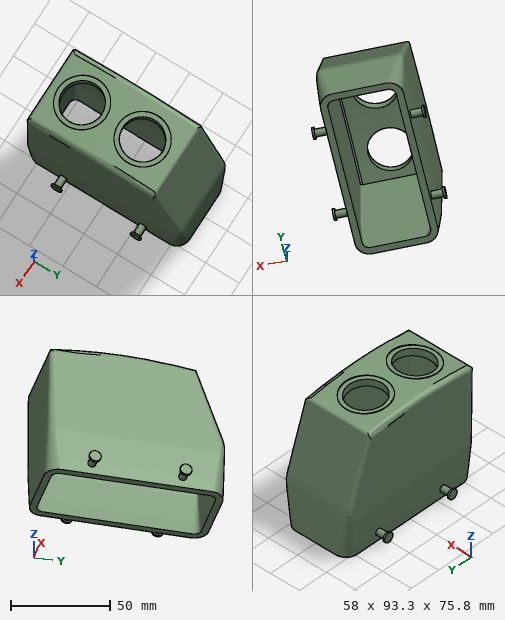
import cadquery as cq
import math

length = 93.3
height = 75.8
width = 45.3
pin_span = 58.0

wall = 3.7
roof_thickness = 5.0

rim_level = 7.2
upright_level = 23.3
rim_inset = 0.7
bottom_inset = 1.2

front_lean = 1.1
rear_lean = 0.65
knee_level = 30.4
shoulder_angle = 20.0
knee_blend = 1.8

bottom_corner = 7.6
rim_corner = 6.3
upright_corner = 3.9
rear_upright_corner = 3.5
knee_corner = 2.8
top_corner = 1.5

roof_radius = 261.2
crown_y = -7.0
roof_edge_radius = 3.0
front_edge_radius = 2.8
rear_edge_radius = 1.9
cavity_edge_radius = 0.9
settling_steps = 4

opening_positions = (9.8, -26.4)
opening_radius = 11.8
recess_radius = 14.5
recess_depth = 0.6

pin_y = 23.7
pin_level = 6.1
pin_radius = 2.05
head_radius = 3.1
head_thickness = 1.1

half_length = length / 2
half_width = width / 2
roof_axis_z = height - roof_radius
knee_y = half_length - rear_lean


def end_section(side, level, end, half, radius):
    """U-shaped wire from Y = 0 to one end (side = 1 rear, -1 front) with two round corners."""
    straight_x = half - radius
    straight_y = side * (end - radius)
    mid_x = straight_x + radius * math.sqrt(0.5)
    mid_y = side * (end - radius + radius * math.sqrt(0.5))
    return (
        cq.Workplane("XY", origin=(0, 0, level))
        .moveTo(-half, 0)
        .lineTo(-half, straight_y)
        .threePointArc((-mid_x, mid_y), (-straight_x, side * end))
        .lineTo(straight_x, side * end)
        .threePointArc((mid_x, mid_y), (half, straight_y))
        .lineTo(half, 0)
        .close()
        .wires()
        .val()
    )


def front_end(level):
    """Distance of the front end wall from Y = 0."""
    return half_length - front_lean * level / height


def rear_end(level):
    """Distance of the rear end wall from Y = 0, below the knee."""
    return half_length - rear_lean * level / knee_level


def shoulder_end(level):
    """Distance of the sloping rear shoulder from Y = 0, above the knee."""
    return knee_y - (level - knee_level) * math.tan(math.radians(shoulder_angle))


def half_hood(side, stations, inset):
    """Ruled loft through the stations (level, end, half width, corner radius), set in all round."""
    sections = []
    for level, end, half, radius in stations:
        corner = max(radius - inset, cavity_edge_radius)
        sections.append(end_section(side, level, end - inset, half - inset, corner))
    return cq.Workplane(cq.Solid.makeLoft(sections, True))


def walls(inset):
    """Tapering walls with round corners, running up past the roof arc."""
    bottom_half = half_width - bottom_inset
    rim_half = half_width - rim_inset
    knee_start = knee_level - knee_blend
    knee_end = knee_level + knee_blend
    front = [
        (0, half_length, bottom_half, bottom_corner),
        (rim_level, front_end(rim_level), rim_half, rim_corner),
        (upright_level, front_end(upright_level), half_width, upright_corner),
        (height, front_end(height), half_width, top_corner),
    ]
    rear = [
        (0, half_length, bottom_half, bottom_corner),
        (rim_level, rear_end(rim_level), rim_half, rim_corner),
        (upright_level, rear_end(upright_level), half_width, rear_upright_corner),
        (knee_start, rear_end(knee_start), half_width, knee_corner),
        (knee_end, shoulder_end(knee_end), half_width, knee_corner),
        (height, shoulder_end(height), half_width, top_corner),
    ]
    return half_hood(-1, front, inset).union(half_hood(1, rear, inset)).clean()


def roof_wheel(radius, half, edge_radius):
    """Disc about the roof axis whose rounded rim forms the arched roof and its long edges."""
    return (
        cq.Workplane("YZ", origin=(0, crown_y, roof_axis_z))
        .circle(radius)
        .extrude(half, both=True)
        .edges()
        .fillet(edge_radius)
    )


def roof_height(y):
    """Level of the roof arc at the given Y."""
    return roof_axis_z + math.sqrt(roof_radius**2 - (y - crown_y) ** 2)


def side_profile():
    """Prism along X of the YZ outline, with both ends of the roof rounded."""
    front_y = -front_end(height)
    rear_y = shoulder_end(height)
    for _ in range(settling_steps):
        front_y = -front_end(roof_height(front_y))
        rear_y = shoulder_end(roof_height(rear_y))
    profile = (
        cq.Workplane("YZ")
        .moveTo(-half_length, 0)
        .lineTo(half_length, 0)
        .lineTo(knee_y, knee_level)
        .lineTo(rear_y, roof_height(rear_y))
        .threePointArc((crown_y, height), (front_y, roof_height(front_y)))
        .close()
        .extrude(width, both=True)
    )
    for y, level, radius in (
        (rear_y, roof_height(rear_y), rear_edge_radius),
        (front_y, roof_height(front_y), front_edge_radius),
    ):
        edge = cq.selectors.NearestToPointSelector((0, y, level))
        profile = profile.edges("|X").edges(edge).fillet(radius)
    return profile


def locking_pin(side, y):
    """Headed pin standing out of a side wall, rooted inside the wall."""
    root_x = half_width - wall / 2
    head_x = pin_span / 2 - head_thickness
    shank = (
        cq.Workplane("YZ", origin=(side * root_x, y, pin_level))
        .circle(pin_radius)
        .extrude(side * (head_x - root_x))
    )
    head = (
        cq.Workplane("YZ", origin=(side * head_x, y, pin_level))
        .circle(head_radius)
        .extrude(side * head_thickness)
    )
    return shank.union(head)


def cable_opening(y):
    """Through hole and shallow recess on the roof normal at the given Y."""
    normal = cq.Vector(0, y - crown_y, roof_height(y) - roof_axis_z).normalized()
    centre = cq.Vector(0, y, roof_height(y))
    reach = 2 * roof_thickness
    hole = cq.Solid.makeCylinder(opening_radius, 2 * reach, centre - normal * reach, normal)
    recess = cq.Solid.makeCylinder(recess_radius, reach, centre - normal * recess_depth, normal)
    return cq.Workplane(hole).union(cq.Workplane(recess))


hood = walls(0).intersect(side_profile())
hood = hood.intersect(roof_wheel(roof_radius, half_width, roof_edge_radius))

cavity = walls(wall).intersect(
    roof_wheel(roof_radius - roof_thickness, half_width - wall, cavity_edge_radius)
)
result = hood.cut(cavity)

for y in opening_positions:
    result = result.cut(cable_opening(y))

for side in (-1, 1):
    for y in (-pin_y, pin_y):
        result = result.union(locking_pin(side, y))